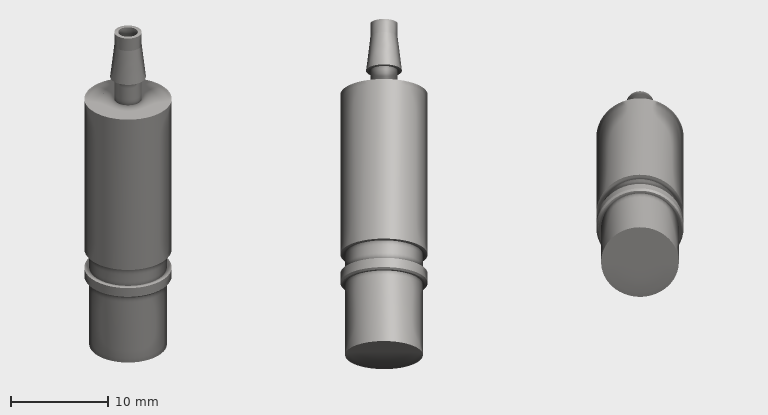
import cadquery as cq

body_diameter = 9.0
body_bottom = 11.1
body_top = 28.73

plug_diameter = 8.0
flange_bottom = 7.8
flange_top = 9.0
flange_chamfer = 0.2

stem_diameter = 2.8
stem_top = 36.55
barb_diameter = 3.7
barb_bottom = 31.35
barb_top = 35.1

bore_diameter = 2.0
bore_floor_diameter = 1.5
bore_cone_height = 0.45
bore_floor = body_top
bore_cone_top = bore_floor + bore_cone_height

pin_hole_diameter = 0.1
pin_hole_offset = 2.78
pin_hole_depth = 0.35


def cylinder(diameter, bottom, top):
    """Cylinder on the Z axis between two heights."""
    return cq.Workplane("XY", origin=(0, 0, bottom)).circle(diameter / 2).extrude(top - bottom)


def cone(bottom_diameter, top_diameter, bottom, top):
    """Truncated cone on the Z axis between two heights."""
    base = cq.Workplane("XY", origin=(0, 0, bottom)).circle(bottom_diameter / 2)
    return base.workplane(offset=top - bottom).circle(top_diameter / 2).loft(ruled=True)


plug = cylinder(plug_diameter, 0, body_bottom)
flange = cylinder(body_diameter, flange_bottom, flange_top).faces("<Z").chamfer(flange_chamfer)
body = cylinder(body_diameter, body_bottom, body_top)
stem = cylinder(stem_diameter, body_top, stem_top)
barb = cone(barb_diameter, stem_diameter, barb_bottom, barb_top)

bore_cone = cone(bore_floor_diameter, bore_diameter, bore_floor, bore_cone_top)
bore = cylinder(bore_diameter, bore_cone_top, stem_top).union(bore_cone)

pin_hole = cylinder(pin_hole_diameter, body_top - pin_hole_depth, body_top)
pin_hole = pin_hole.translate((-pin_hole_offset, 0, 0))

result = plug.union(flange).union(body).union(stem).union(barb).cut(bore).cut(pin_hole)